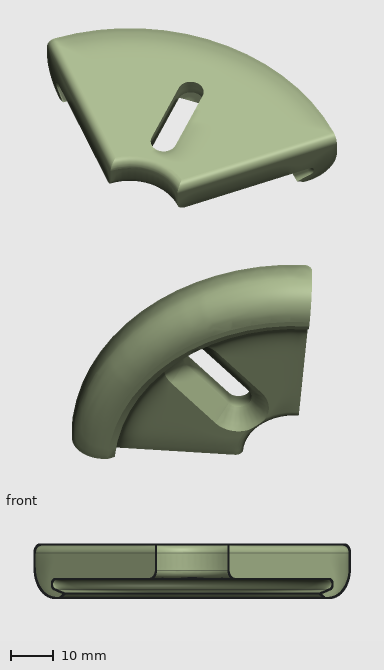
import cadquery as cq
import math

overall_width = 73.55
overall_height = 12.5
sector_angle = 90.0
half_angle = math.radians(sector_angle / 2)
outer_radius = overall_width / 2 / math.sin(half_angle)
inner_radius = 12.0

plate_thickness = 8.0
plate_bottom = overall_height - plate_thickness
edge_radius = 2.0

rim_radius = 7.0
lip_bottom_setback = 8.2
lip_tip_setback = 10.0
lip_tip_height = 1.0
groove_setback = 5.7
groove_radius = 1.25

slot_width = 6.0
slot_length = 22.0
slot_center = 28.0
slot_depth = 4.0

flare_angle = 45.0
flare_height = plate_thickness - slot_depth
flare_margin = flare_height * math.tan(math.radians(flare_angle))


def section_profile():
    """Radial cross-section in the XZ plane, with X as the radius."""
    diagonal = math.sqrt(0.5)
    tip = (outer_radius - lip_tip_setback, lip_tip_height)
    groove_center = (outer_radius - groove_setback - groove_radius, plate_bottom - groove_radius)

    tip_dx = groove_center[0] - tip[0]
    tip_dz = groove_center[1] - tip[1]
    tip_distance = math.hypot(tip_dx, tip_dz)
    lip_slope = math.atan2(tip_dz, tip_dx) - math.asin(groove_radius / tip_distance)
    groove_tangent = (
        groove_center[0] + groove_radius * math.sin(lip_slope),
        groove_center[1] - groove_radius * math.cos(lip_slope),
    )

    rim_center_x = outer_radius - rim_radius
    corner_center = (inner_radius + edge_radius, plate_bottom + edge_radius)
    return (
        cq.Workplane("XZ")
        .moveTo(inner_radius, overall_height)
        .lineTo(outer_radius, overall_height)
        .lineTo(outer_radius, rim_radius)
        .threePointArc(
            (rim_center_x + rim_radius * diagonal, rim_radius * (1 - diagonal)),
            (rim_center_x, 0),
        )
        .lineTo(outer_radius - lip_bottom_setback, 0)
        .lineTo(*tip)
        .lineTo(*groove_tangent)
        .threePointArc(
            (groove_center[0] + groove_radius, groove_center[1]),
            (groove_center[0], plate_bottom),
        )
        .lineTo(corner_center[0], plate_bottom)
        .threePointArc(
            (corner_center[0] - edge_radius * diagonal, corner_center[1] - edge_radius * diagonal),
            (inner_radius, corner_center[1]),
        )
        .close()
    )


def sector_body():
    """Section swept about Z and centred on the +Y axis."""
    swept = section_profile().revolve(sector_angle, (0, 0, 0), (0, -1, 0))
    middle = swept.val().Center()
    turn_to_y = 90 - math.degrees(math.atan2(middle.y, middle.x))
    return swept.rotate((0, 0, 0), (0, 0, 1), turn_to_y)


def round_top_edges(body):
    """Round the two straight sides and the inner arc, leaving the outer rim sharp."""
    side_edges = body.faces(">Z").edges("%LINE")
    inner_edge = body.faces(">Z").edges("%CIRCLE").edges("<Y")
    return side_edges.add(inner_edge).fillet(edge_radius)


def slot_outline(height, margin):
    """Radial slot outline at a given height, widened all round by the margin."""
    return (
        cq.Workplane("XY")
        .workplane(offset=height)
        .center(0, slot_center)
        .slot2D(slot_length + 2 * margin, slot_width + 2 * margin, 90)
    )


def countersunk_slot():
    """Cutter for the slot and for the flare that narrows upward into it."""
    slot = slot_outline(0, 0).extrude(overall_height)
    flare = slot_outline(plate_bottom, flare_margin).extrude(flare_height, taper=flare_angle)
    return slot.union(flare)


plate = round_top_edges(sector_body())
result = plate.cut(countersunk_slot())